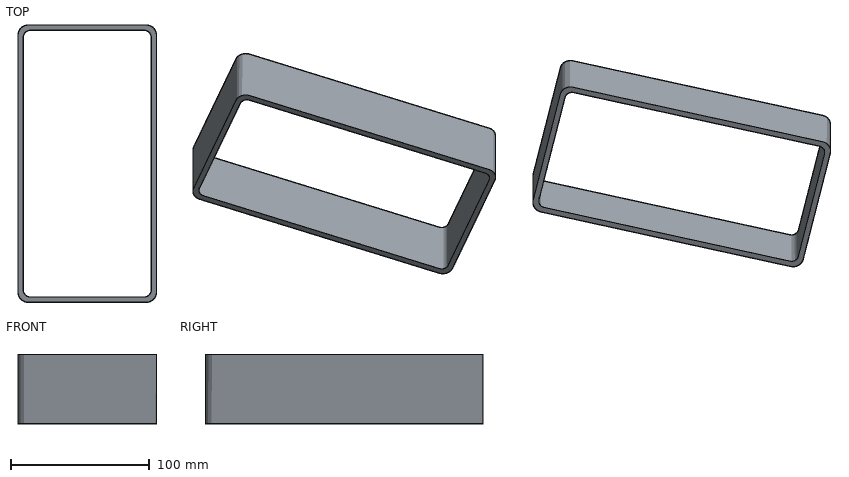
import cadquery as cq

width = 100.0
length = 200.0
height = 50.0

wall = 4.0
outer_radius = 7.5
inner_radius = 5.0


def rounded_block(size_x, size_y, corner_radius):
    """Block of the tube's height with rounded vertical edges."""
    block = cq.Workplane("XY").rect(size_x, size_y).extrude(height)
    return block.edges("|Z").fillet(corner_radius)


outside = rounded_block(width, length, outer_radius)
opening = rounded_block(width - 2 * wall, length - 2 * wall, inner_radius)

result = outside.cut(opening)